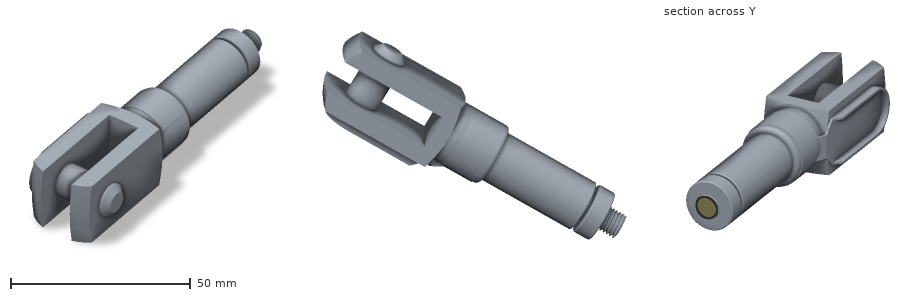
import cadquery as cq
import math


fork_width = 20.0
half_width = fork_width / 2
slot_width = fork_width / 2
slot_end_y = 20.4
fork_tip_y = -12.0
fork_back_y = 25.0
tip_arc_radius = 16.6
tip_revolve_radius = 53.9
back_chamfer_angle = 21.0
back_flat_radius = 10.2

shank_radius = 18.3 / 2
shank_end_y = 40.0
shank_round = 1.2
collar_radius = 18.9 / 2
collar_start_y = 28.0
collar_end_y = 38.0
collar_gap_width = 10.7
barrel_radius = 15.0 / 2
barrel_end_y = 68.95
nut_start_y = 70.0
nut_end_y = 75.0
edge_chamfer = 0.3

stud_end_y = 80.9
thread_radius = 3.6
thread_depth = 0.6
thread_root_radius = thread_radius - thread_depth
thread_pitch = 1.0

pin_radius = slot_width / 2
pin_shoulder_x = 10.6
pin_end_x = 12.45
pin_end_radius = 3.1

clip_radius = 7.2
rim_thickness = 0.65
rim_outer_x = -12.5
sheet_thickness = 0.6
sheet_outer_x = -half_width - sheet_thickness
rim_end_y = 22.1
tongue_half_width = 3.6
tongue_bend_y = 25.9
tongue_tip_y = 29.7
tongue_slope = 0.53


def turned(points):
    """Revolve an outline of (radius, y) points, closed along the Y axis."""
    return cq.Workplane("XY").polyline(points).close().revolve(360, (0, 0), (0, 1))


def rod(radius, start_y, end_y):
    """Cylinder along Y."""
    return cq.Workplane("XZ", origin=(0, start_y, 0)).circle(radius).extrude(start_y - end_y)


def make_tip_envelope():
    """Barrel-shaped solid, revolved about a line parallel to X, that rounds the prong tips."""
    arc_centre_y = fork_tip_y + math.sqrt(tip_arc_radius**2 - (slot_width / 2) ** 2)
    side_y = arc_centre_y - math.sqrt(tip_arc_radius**2 - half_width**2)
    axis_y = fork_tip_y + tip_revolve_radius
    return (
        cq.Workplane("XY")
        .moveTo(-half_width, axis_y)
        .lineTo(-half_width, side_y)
        .threePointArc((0, arc_centre_y - tip_arc_radius), (half_width, side_y))
        .lineTo(half_width, axis_y)
        .close()
        .revolve(360, (-half_width, axis_y), (half_width, axis_y))
    )


def make_back_envelope():
    """Turned solid whose shallow cone bevels the back of the fork and of the clip on its side."""
    front_y = fork_tip_y - tip_arc_radius
    rim_radius = fork_width
    back_drop = (rim_radius - back_flat_radius) * math.tan(math.radians(back_chamfer_angle))
    return turned([
        (0, front_y),
        (rim_radius, front_y),
        (rim_radius, fork_back_y - back_drop),
        (back_flat_radius, fork_back_y),
        (0, fork_back_y),
    ])


def make_fork():
    front_y = fork_tip_y - tip_arc_radius
    block = cq.Workplane("XY").box(fork_width, fork_back_y - front_y, fork_width)
    block = block.translate((0, (fork_back_y + front_y) / 2, 0))
    slot = cq.Workplane("XY").box(slot_width, slot_end_y - front_y, fork_width)
    slot = slot.translate((0, (slot_end_y + front_y) / 2, 0))
    return block.intersect(make_back_envelope()).intersect(make_tip_envelope()).cut(slot)


def make_body():
    shank = rod(shank_radius, slot_end_y, shank_end_y).faces(">Y").edges().fillet(shank_round)
    collar_gap = cq.Workplane("XY").box(
        collar_radius, collar_end_y - collar_start_y, collar_gap_width, centered=(False, False, True)
    ).translate((0, collar_start_y, 0))
    collar = rod(collar_radius, collar_start_y, collar_end_y).cut(collar_gap)
    barrel = rod(barrel_radius, shank_end_y, barrel_end_y).faces("<Y or >Y").chamfer(edge_chamfer)
    nut = rod(barrel_radius, nut_start_y, nut_end_y).faces("<Y or >Y").chamfer(edge_chamfer)
    stud_neck = rod(thread_radius, barrel_end_y, nut_start_y)
    return shank.union(collar).union(barrel).union(stud_neck).union(nut)


def make_thread():
    """Stud core with a helical ridge, trimmed flush with the nut and the stud end."""
    length = stud_end_y - nut_end_y
    overlap = 0.1
    half_base = 0.4 * thread_pitch
    half_crest = 0.1 * thread_pitch
    base_radius = thread_root_radius - overlap
    path = cq.Wire.makeHelix(thread_pitch, length + 2 * thread_pitch, base_radius)
    ridge = (
        cq.Workplane("XZ")
        .polyline([
            (base_radius, -half_base),
            (thread_radius, -half_crest),
            (thread_radius, half_crest),
            (base_radius, half_base),
        ])
        .close()
        .sweep(cq.Workplane(path), isFrenet=True)
        .rotate((0, 0, 0), (1, 0, 0), -90)
        .translate((0, nut_end_y - thread_pitch, 0))
    )
    core = rod(thread_root_radius, nut_end_y, stud_end_y)
    trim = rod(thread_radius + thread_depth, nut_end_y, stud_end_y)
    return core.union(ridge.intersect(trim))


def make_pin():
    return (
        cq.Workplane("XY")
        .polyline([
            (sheet_outer_x, 0),
            (sheet_outer_x, pin_radius),
            (pin_shoulder_x, pin_radius),
            (pin_end_x, pin_end_radius),
            (pin_end_x, 0),
        ])
        .close()
        .revolve(360, (0, 0), (1, 0))
    )


def clip_plate(radius, end_y, start_x, end_x):
    """Plate normal to X, rounded about the pin and running straight back to end_y."""
    return (
        cq.Workplane("YZ", origin=(start_x, 0, 0))
        .moveTo(end_y, -radius)
        .lineTo(0, -radius)
        .threePointArc((-radius, 0), (0, radius))
        .lineTo(end_y, radius)
        .close()
        .extrude(end_x - start_x)
    )


def make_clip_rim():
    """Raised rim standing on the sheet, bevelled at its open back end."""
    rim = clip_plate(clip_radius, rim_end_y, rim_outer_x, sheet_outer_x)
    rim = rim.cut(clip_plate(clip_radius - rim_thickness, rim_end_y, rim_outer_x, sheet_outer_x))
    bevel = sheet_outer_x - rim_outer_x
    bevel_cutter = (
        cq.Workplane("XY")
        .polyline([
            (rim_outer_x, rim_end_y - bevel),
            (rim_outer_x, rim_end_y),
            (sheet_outer_x, rim_end_y),
        ])
        .close()
        .extrude(clip_radius, both=True)
    )
    return rim.cut(bevel_cutter)


def make_clip_sheet():
    """Thin floor of the tray, narrowing at 45 degrees to a tongue bent in against the collar."""
    taper_start_y = tongue_bend_y - (clip_radius - tongue_half_width)
    sheet = (
        cq.Workplane("YZ", origin=(sheet_outer_x, 0, 0))
        .moveTo(0, -clip_radius)
        .threePointArc((-clip_radius, 0), (0, clip_radius))
        .lineTo(taper_start_y, clip_radius)
        .lineTo(tongue_bend_y, tongue_half_width)
        .lineTo(tongue_bend_y, -tongue_half_width)
        .lineTo(taper_start_y, -clip_radius)
        .close()
        .extrude(sheet_thickness)
    )
    behind_fork = cq.Workplane("XY").box(
        2 * fork_width, tongue_tip_y - fork_back_y, fork_width, centered=(True, False, True)
    ).translate((0, fork_back_y, 0))
    sheet = sheet.intersect(make_back_envelope().union(behind_fork))
    tip_x = sheet_outer_x + tongue_slope * (tongue_tip_y - tongue_bend_y)
    tongue = (
        cq.Workplane("XY")
        .polyline([
            (sheet_outer_x, tongue_bend_y),
            (tip_x, tongue_tip_y),
            (tip_x + sheet_thickness, tongue_tip_y),
            (-half_width, tongue_bend_y),
        ])
        .close()
        .extrude(tongue_half_width, both=True)
    )
    return sheet.union(tongue)


result = (
    make_fork()
    .union(make_body())
    .union(make_thread())
    .union(make_pin())
    .union(make_clip_rim())
    .union(make_clip_sheet())
)